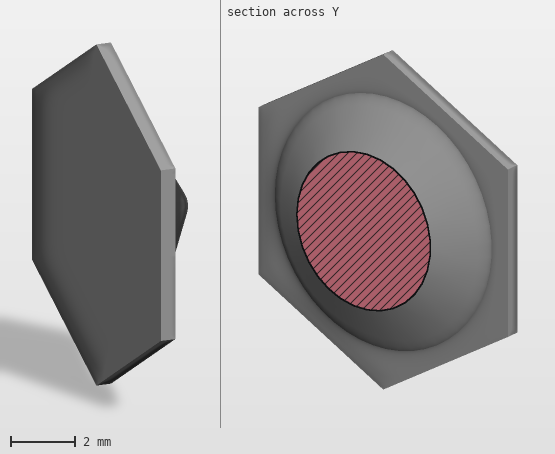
import cadquery as cq
import math

across_corners = 11.0
plate_thickness = 0.5
total_depth = 3.04
cone_base_radius = 4.15
tip_radius = 0.75

tip_center_y = total_depth - tip_radius

center_height = tip_center_y - plate_thickness
center_distance = math.hypot(cone_base_radius, center_height)
side_angle = math.atan2(center_height, cone_base_radius) + math.asin(tip_radius / center_distance)


def tip_point(angle_from_axis):
    """Point on the rounded tip, as (radius from the axis, Y)."""
    return (
        tip_radius * math.sin(angle_from_axis),
        tip_center_y + tip_radius * math.cos(angle_from_axis),
    )


def make_plate():
    corners = []
    for i in range(6):
        angle = math.radians(90 + 60 * i)
        radius = across_corners / 2
        corners.append((radius * math.cos(angle), radius * math.sin(angle)))
    return cq.Workplane("XZ").polyline(corners).close().extrude(-plate_thickness)


def make_cone():
    profile = (
        cq.Workplane("XY")
        .lineTo(cone_base_radius, 0)
        .lineTo(cone_base_radius, plate_thickness)
        .lineTo(*tip_point(side_angle))
        .threePointArc(tip_point(side_angle / 2), (0, total_depth))
        .close()
    )
    return profile.revolve(360, (0, 0), (0, 1))


result = make_plate().union(make_cone()).clean()